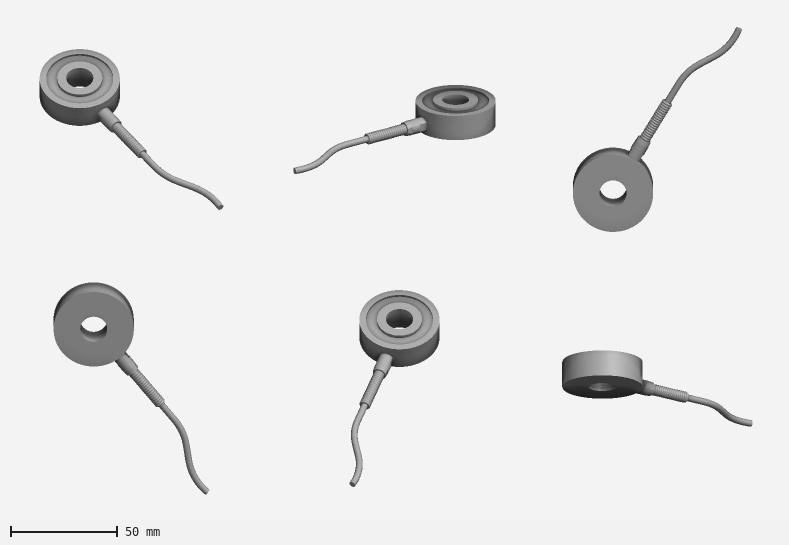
import cadquery as cq
import math

body_diameter = 37.6
body_height = 12.2
bore_diameter = 12.7

load_ring_diameter = 21.2
load_ring_top = 12.7
recess_diameter = 31.4
recess_depth = 1.2

outlet_height = 4.6

gland_diameter = 7.0
gland_flats_start = 18.8
gland_flats_end = 22.5
gland_flats_width = 6.0
nose_start = 26.9
nose_end = 29.1
nose_tip_diameter = 6.6
nose_flats_start = 26.7
nose_flats_width = 6.3

coil_count = 18
coil_pitch = 1.2
coil_diameter = 5.3
coil_root_diameter = 4.8

cable_diameter = 3.2
sleeve_diameter = 3.0
sleeve_length = 1.3
bend_start = 60.8
bend_radius = 26.3
first_bend_angle = 30.0
middle_length = 7.8
overall_length = 117.5
tip_reach = overall_length - body_diameter / 2
cable_plane_tilt = 5.6


def cylinder(diameter, start, end):
    """Cylinder about Z between two heights."""
    return cq.Workplane("XY").workplane(offset=start).circle(diameter / 2).extrude(end - start)


def outlet_revolve(profile):
    """Revolve a profile drawn in X and radius about the outlet axis."""
    solid = profile.close().revolve(360, (0, 0, 0), (1, 0, 0))
    return solid.translate((0, 0, outlet_height))


def side_flats(solid, start, end, width):
    """Cut a flat on the -Y and +Y sides of the gland between two X positions."""
    for side in (-1, 1):
        cutter = cq.Workplane("XY").box(end - start, gland_diameter, gland_diameter)
        offset_y = side * (width + gland_diameter) / 2
        solid = solid.cut(cutter.translate(((start + end) / 2, offset_y, outlet_height)))
    return solid


def make_body():
    recess_floor = body_height - recess_depth
    body = cylinder(body_diameter, 0, body_height)
    body = body.cut(cylinder(recess_diameter, recess_floor, body_height))
    return body.union(cylinder(load_ring_diameter, 0, load_ring_top))


def make_gland():
    gland_start = (body_diameter + load_ring_diameter) / 4
    profile = (
        cq.Workplane("XY")
        .moveTo(gland_start, 0)
        .lineTo(gland_start, gland_diameter / 2)
        .lineTo(nose_start, gland_diameter / 2)
        .lineTo(nose_end, nose_tip_diameter / 2)
        .lineTo(nose_end, 0)
    )
    gland = outlet_revolve(profile)
    gland = side_flats(gland, gland_flats_start, gland_flats_end, gland_flats_width)
    return side_flats(gland, nose_flats_start, nose_end, nose_flats_width)


def make_strain_relief():
    root_radius = coil_root_diameter / 2
    profile = cq.Workplane("XY").moveTo(nose_end, 0).lineTo(nose_end, root_radius)
    for index in range(coil_count):
        coil_start = nose_end + index * coil_pitch
        coil_end = coil_start + coil_pitch
        crest = ((coil_start + coil_end) / 2, coil_diameter / 2)
        profile = profile.threePointArc(crest, (coil_end, root_radius))
    return outlet_revolve(profile.lineTo(nose_end + coil_count * coil_pitch, 0))


def arc_point(center, angle, radius):
    """Point on an arc, where angle is the heading along a bend to the left."""
    heading = math.radians(angle)
    return (center[0] + radius * math.sin(heading), center[1] - radius * math.cos(heading))


def make_cable():
    first_center = (bend_start, bend_radius)
    first_middle = arc_point(first_center, first_bend_angle / 2, bend_radius)
    first_end = arc_point(first_center, first_bend_angle, bend_radius)

    heading = math.radians(first_bend_angle)
    second_start = (
        first_end[0] + middle_length * math.cos(heading),
        first_end[1] + middle_length * math.sin(heading),
    )

    second_center = arc_point(second_start, first_bend_angle, bend_radius)
    outer_radius = bend_radius + sleeve_diameter / 2
    end_angle = -math.degrees(math.asin((tip_reach - second_center[0]) / outer_radius))
    sleeve_angle = end_angle + math.degrees(sleeve_length / bend_radius)

    def second_bend_point(angle):
        return arc_point(second_center, angle, -bend_radius)

    sleeve_start = second_bend_point(sleeve_angle)
    cable_path = (
        cq.Workplane("XY")
        .moveTo(nose_end, 0)
        .lineTo(bend_start, 0)
        .threePointArc(first_middle, first_end)
        .lineTo(*second_start)
        .threePointArc(second_bend_point((first_bend_angle + sleeve_angle) / 2), sleeve_start)
    )
    cable = cq.Workplane("YZ", origin=(nose_end, 0, 0)).circle(cable_diameter / 2).sweep(cable_path)

    sleeve_path = (
        cq.Workplane("XY")
        .moveTo(*sleeve_start)
        .threePointArc(second_bend_point((sleeve_angle + end_angle) / 2), second_bend_point(end_angle))
    )
    sleeve_heading = math.radians(sleeve_angle)
    sleeve_plane = cq.Plane(
        origin=(sleeve_start[0], sleeve_start[1], 0),
        xDir=(0, 0, 1),
        normal=(math.cos(sleeve_heading), math.sin(sleeve_heading), 0),
    )
    sleeve = cq.Workplane(sleeve_plane).circle(sleeve_diameter / 2).sweep(sleeve_path)

    cable = cable.union(sleeve)
    cable = cable.rotate((0, 0, 0), (1, 0, 0), -cable_plane_tilt)
    return cable.translate((0, 0, outlet_height))


result = make_body().union(make_gland())
result = result.cut(cylinder(bore_diameter, 0, load_ring_top))
result = result.union(make_strain_relief()).union(make_cable())